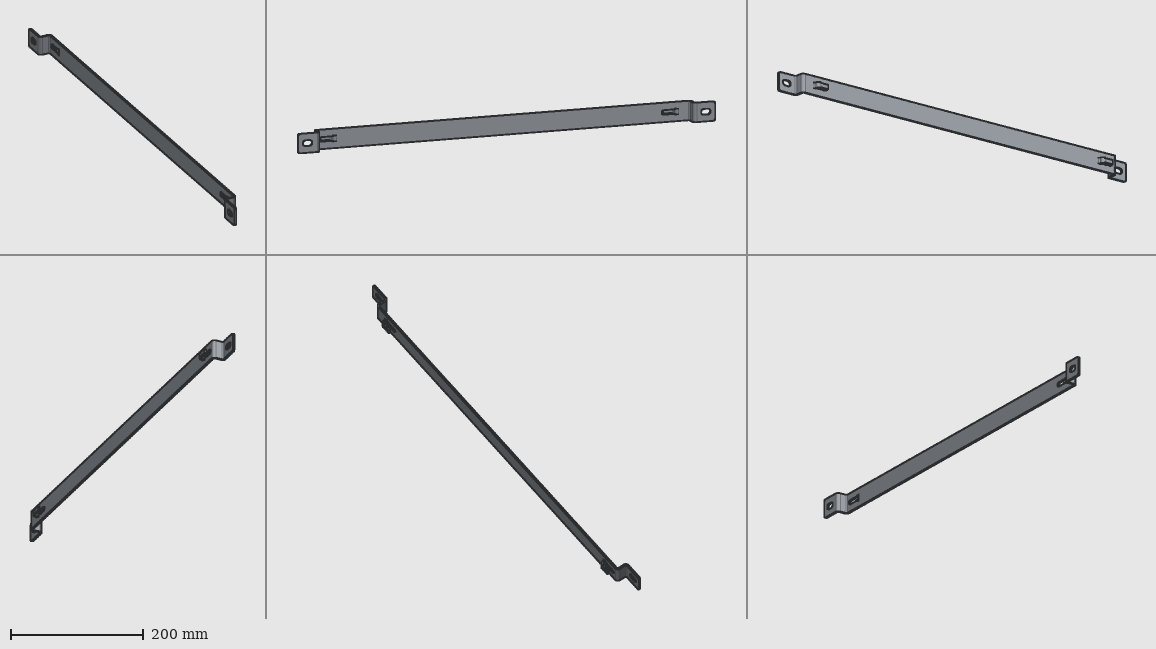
import cadquery as cq

length = 670.0
width = 30.0
thickness = 3.0
total_depth = 28.0
inner_bend_radius = 2.0
outer_bend_radius = inner_bend_radius + thickness
end_corner_radius = 3.0

web_length = 606.0
step_depth = 20.0
web_back = step_depth
web_front = web_back - thickness

mount_slot_length = 15.0
mount_slot_height = 9.0
mount_slot_spacing = 640.0

hook_leg_positions = (-270.0, 280.0)
hook_length = 19.5
hook_leg_width = 9.0
hook_arm_width = 7.0
hook_back = total_depth
hook_front = hook_back - thickness

opening_tip_gap = 5.0


def round_bends(body, corners, radius):
    """Fillet the Z-direction edges that stand at the given XY corners."""
    for x, y in corners:
        corner_edge = cq.selectors.NearestToPointSelector((x, y, 0))
        body = body.edges(corner_edge).fillet(radius)
    return body


def bent_strip():
    """Flange, step, web, step, flange: one closed outline extruded over the width."""
    end = length / 2
    outer = web_length / 2
    inner = outer - thickness
    strip = (
        cq.Workplane("XY")
        .polyline([
            (-end, 0), (-inner, 0), (-inner, web_front), (inner, web_front), (inner, 0), (end, 0),
            (end, thickness), (outer, thickness), (outer, web_back),
            (-outer, web_back), (-outer, thickness), (-end, thickness),
        ])
        .close()
        .extrude(width / 2, both=True)
    )
    for side in (-1, 1):
        outside_bends = [(side * inner, 0), (side * outer, web_back)]
        inside_bends = [(side * inner, web_front), (side * outer, thickness)]
        strip = round_bends(strip, outside_bends, outer_bend_radius)
        strip = round_bends(strip, inside_bends, inner_bend_radius)
    return strip.faces("<X or >X").edges("|Y").fillet(end_corner_radius)


def mount_slots():
    """Round-ended cutters through both flanges."""
    slot_x = mount_slot_spacing / 2
    return (
        cq.Workplane("XZ")
        .pushPoints([(-slot_x, 0), (slot_x, 0)])
        .slot2D(mount_slot_length, mount_slot_height)
        .extrude(-thickness)
    )


def hook_opening(leg_right):
    """Web cutter: narrow and round-ended under the hook's arm, as wide as the leg at its root."""
    leg_left = leg_right - thickness
    opening_end = leg_right - hook_length - opening_tip_gap
    root = leg_right + inner_bend_radius
    half_narrow = hook_arm_width / 2
    half_wide = hook_leg_width / 2
    return (
        cq.Workplane("XZ", origin=(0, web_front, 0))
        .moveTo(opening_end + half_narrow, -half_narrow)
        .threePointArc((opening_end, 0), (opening_end + half_narrow, half_narrow))
        .lineTo(leg_left, half_narrow)
        .lineTo(leg_left, half_wide)
        .lineTo(root, half_wide)
        .lineTo(root, -half_wide)
        .lineTo(leg_left, -half_wide)
        .lineTo(leg_left, -half_narrow)
        .close()
        .extrude(-thickness)
    )


def hook(leg_right):
    """Z-shaped hook: a wide leg bends back out of the web, then a narrower arm runs towards -X."""
    leg_left = leg_right - thickness
    root = leg_right + inner_bend_radius
    leg_bend_y = web_front + outer_bend_radius
    arm_bend_y = hook_back - outer_bend_radius
    arm_start = leg_right - outer_bend_radius
    arm_length = hook_length - outer_bend_radius
    leg = (
        cq.Workplane("XY")
        .moveTo(root, web_front)
        .radiusArc((leg_left, leg_bend_y), outer_bend_radius)
        .lineTo(leg_left, arm_bend_y)
        .radiusArc((arm_start, hook_front), -inner_bend_radius)
        .lineTo(arm_start, hook_back)
        .radiusArc((leg_right, arm_bend_y), outer_bend_radius)
        .lineTo(leg_right, leg_bend_y)
        .radiusArc((root, web_back), -inner_bend_radius)
        .close()
        .extrude(hook_leg_width / 2, both=True)
    )
    arm = (
        cq.Workplane("XY")
        .box(arm_length, thickness, hook_arm_width, centered=(False, False, True))
        .translate((arm_start - arm_length, hook_front, 0))
    )
    return leg.union(arm)


result = bent_strip().cut(mount_slots())
for leg_position in hook_leg_positions:
    result = result.cut(hook_opening(leg_position)).union(hook(leg_position))